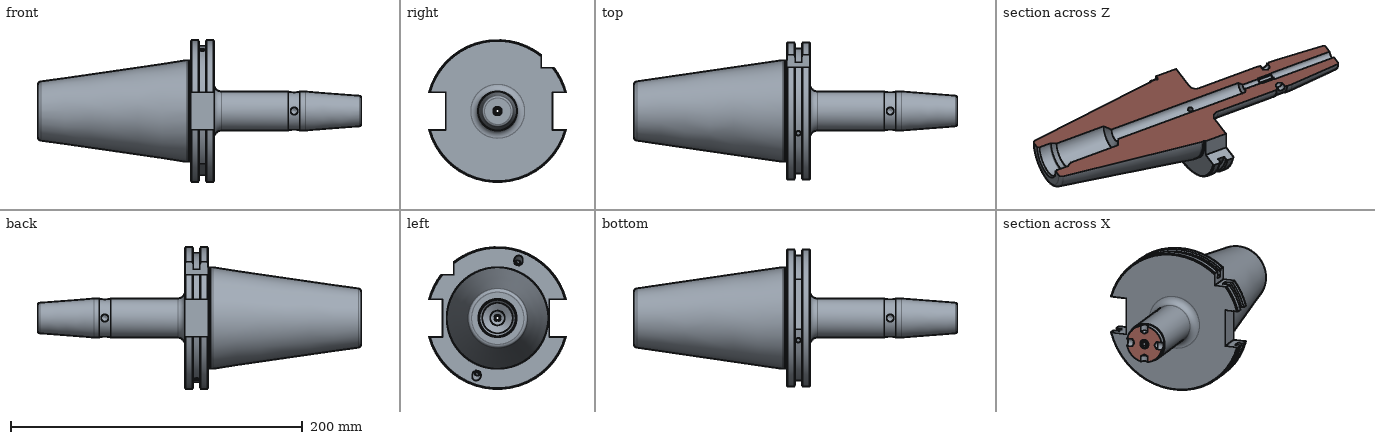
import cadquery as cq
import math


GAUGE_RADIUS = 69.85 / 2
TAPER_LENGTH = 101.75
TAPER_SLOPE = 7 / 48
REAR_X = -TAPER_LENGTH
REAR_RADIUS = GAUGE_RADIUS - TAPER_LENGTH * TAPER_SLOPE
REAR_FILLET = 2.5
RELIEF_START_X = 1.4
RELIEF_DEPTH = 0.3
RELIEF_RAMP = 0.6

FLANGE_RADIUS = 97.5 / 2
FLANGE_REAR_X = 3.2
FLANGE_FRONT_X = 19.1
FLANGE_CHAMFER = 0.7
GROOVE_X = 11.1
GROOVE_MOUTH_WIDTH = 6.0
GROOVE_FLOOR_WIDTH = 4.6
GROOVE_FLANK_ANGLE = 30.0
GROOVE_FLOOR_RADIUS = 44.8
FLAT_DISTANCE = 41.2
FLAT_ANGLE = 13.0

SLOT_WIDTH = 25.7
SLOT_FLOOR_PLUS_Y = 37.7
SLOT_FLOOR_MINUS_Y = 35.5
NOTCH_Y = 30.0
NOTCH_Z = 29.7

NECK_RADIUS = 13.5
NECK_FILLET = 5.0
UNDERCUT_RADIUS = 13.1
UNDERCUT_START_X = 70.0
UNDERCUT_END_X = 78.0
NOSE_START_X = 81.5
NOSE_END_X = 120.0
NOSE_END_RADIUS = 10.5
NOSE_FILLET = 1.5

BALANCE_HOLE_COUNT = 4
BALANCE_HOLE_DIAMETER = 5.0
BALANCE_HOLE_X = (UNDERCUT_START_X + UNDERCUT_END_X) / 2
BALANCE_HOLE_FLOOR_RADIUS = 9.0

DRILL_TIP_SLOPE = math.tan(math.radians(118 / 2))
MOUTH_RADIUS = 13.2
MOUTH_CHAMFER_LENGTH = 1.5
PILOT_RADIUS = 12.6
PILOT_DEPTH = 9.5
PILOT_STEP_LENGTH = 0.8
LEAD_IN_RADIUS = 12.4
LEAD_IN_ANGLE = 32.0
REAR_BORE_RADIUS = 10.4
REAR_BORE_DEPTH = 50.0
COOLANT_BORE_RADIUS = 5.0
COOLANT_BORE_END_X = 50.0
FEED_BORE_RADIUS = 2.0
TOOL_BORE_RADIUS = 3.0
TOOL_BORE_DEPTH = 46.0
TOOL_BORE_END_X = NOSE_END_X - TOOL_BORE_DEPTH

STOP_SCREW_RADIUS = 2.5
STOP_SCREW_LENGTH = 10.0
STOP_SCREW_HOLE_RADIUS = 1.25

PORT_COUNT = 2
PORT_ANGLE = 20.0
PORT_TILT = 30.0
PORT_RADIAL_POSITION = 42.0
PORT_DIAMETER = 6.0
CROSS_DRILL_DIAMETER = 3.3
PLUG_RECESS = 0.5
PLUG_LENGTH = 2.5


def x_cylinder(radius, start_x, end_x):
    return cq.Workplane("YZ", origin=(start_x, 0, 0)).circle(radius).extrude(end_x - start_x)


def revolve_about_x(profile):
    return profile.close().revolve(360, (0, 0, 0), (1, 0, 0))


def round_port(shape, index):
    """Turn a shape built around +Z to the place of one of the flange ports."""
    return shape.rotate((0, 0, 0), (1, 0, 0), PORT_ANGLE + index * 360 / PORT_COUNT)


def make_shank():
    relief_radius = GAUGE_RADIUS - RELIEF_DEPTH
    profile = (
        cq.Workplane("XY")
        .moveTo(REAR_X, 0)
        .lineTo(REAR_X, REAR_RADIUS)
        .lineTo(0, GAUGE_RADIUS)
        .lineTo(RELIEF_START_X, GAUGE_RADIUS)
        .lineTo(RELIEF_START_X + RELIEF_RAMP, relief_radius)
        .lineTo(FLANGE_REAR_X - RELIEF_RAMP, relief_radius)
        .lineTo(FLANGE_REAR_X, GAUGE_RADIUS)
        .lineTo(FLANGE_REAR_X, 0)
    )
    return revolve_about_x(profile).faces("<X").edges().fillet(REAR_FILLET)


def make_groove_cutter():
    """Straight-walled ring with a flared mouth."""
    mouth_half = GROOVE_MOUTH_WIDTH / 2
    floor_half = GROOVE_FLOOR_WIDTH / 2
    flare_depth = (mouth_half - floor_half) / math.tan(math.radians(GROOVE_FLANK_ANGLE))
    flare_radius = FLANGE_RADIUS - flare_depth
    profile = (
        cq.Workplane("XY")
        .moveTo(GROOVE_X - floor_half, GROOVE_FLOOR_RADIUS)
        .lineTo(GROOVE_X - floor_half, flare_radius)
        .lineTo(GROOVE_X - mouth_half, FLANGE_RADIUS)
        .lineTo(GROOVE_X + mouth_half, FLANGE_RADIUS)
        .lineTo(GROOVE_X + floor_half, flare_radius)
        .lineTo(GROOVE_X + floor_half, GROOVE_FLOOR_RADIUS)
    )
    return revolve_about_x(profile)


def make_groove_flat():
    chord = 2 * math.sqrt(GROOVE_FLOOR_RADIUS**2 - FLAT_DISTANCE**2)
    depth = GROOVE_FLOOR_RADIUS - FLAT_DISTANCE
    flat = cq.Workplane("XY").box(GROOVE_FLOOR_WIDTH, chord, depth, centered=(True, True, False))
    flat = flat.translate((GROOVE_X, 0, -GROOVE_FLOOR_RADIUS))
    return flat.rotate((0, 0, 0), (1, 0, 0), -FLAT_ANGLE)


def make_flange():
    flange = x_cylinder(FLANGE_RADIUS, FLANGE_REAR_X, FLANGE_FRONT_X).edges().chamfer(FLANGE_CHAMFER)
    flange = flange.cut(make_groove_cutter()).cut(make_groove_flat())

    length = FLANGE_FRONT_X - FLANGE_REAR_X
    slot = cq.Workplane("XY").box(length, FLANGE_RADIUS, SLOT_WIDTH, centered=(False, False, True))
    notch = cq.Workplane("XY").box(length, FLANGE_RADIUS, FLANGE_RADIUS, centered=False)
    flange = flange.cut(slot.translate((FLANGE_REAR_X, SLOT_FLOOR_PLUS_Y, 0)))
    flange = flange.cut(slot.translate((FLANGE_REAR_X, -SLOT_FLOOR_MINUS_Y - FLANGE_RADIUS, 0)))
    return flange.cut(notch.translate((FLANGE_REAR_X, NOTCH_Y, NOTCH_Z)))


def make_neck():
    fillet_mid = NECK_FILLET * (1 - math.sqrt(0.5))
    profile = (
        cq.Workplane("XY")
        .moveTo(FLANGE_FRONT_X, 0)
        .lineTo(FLANGE_FRONT_X, NECK_RADIUS + NECK_FILLET)
        .threePointArc(
            (FLANGE_FRONT_X + fillet_mid, NECK_RADIUS + fillet_mid),
            (FLANGE_FRONT_X + NECK_FILLET, NECK_RADIUS),
        )
        .lineTo(UNDERCUT_START_X, NECK_RADIUS)
        .lineTo(UNDERCUT_START_X, UNDERCUT_RADIUS)
        .lineTo(UNDERCUT_END_X, UNDERCUT_RADIUS)
        .lineTo(UNDERCUT_END_X, NECK_RADIUS)
        .lineTo(NOSE_START_X, NECK_RADIUS)
        .lineTo(NOSE_END_X, NOSE_END_RADIUS)
        .lineTo(NOSE_END_X, 0)
    )
    return revolve_about_x(profile).faces(">X").edges().fillet(NOSE_FILLET)


def make_axial_bores():
    lead_in_length = (LEAD_IN_RADIUS - REAR_BORE_RADIUS) / math.tan(math.radians(LEAD_IN_ANGLE))
    pilot_end_x = REAR_X + PILOT_DEPTH
    lead_in_start_x = pilot_end_x + PILOT_STEP_LENGTH
    lead_in_end_x = lead_in_start_x + lead_in_length
    rear_bore_end_x = REAR_X + REAR_BORE_DEPTH
    coolant_bore_start_x = rear_bore_end_x + (REAR_BORE_RADIUS - COOLANT_BORE_RADIUS) / DRILL_TIP_SLOPE
    feed_bore_start_x = COOLANT_BORE_END_X + (COOLANT_BORE_RADIUS - FEED_BORE_RADIUS) / DRILL_TIP_SLOPE
    stop_screw_start_x = TOOL_BORE_END_X - STOP_SCREW_LENGTH
    profile = (
        cq.Workplane("XY")
        .moveTo(REAR_X, 0)
        .lineTo(REAR_X, MOUTH_RADIUS)
        .lineTo(REAR_X + MOUTH_CHAMFER_LENGTH, PILOT_RADIUS)
        .lineTo(pilot_end_x, PILOT_RADIUS)
        .lineTo(lead_in_start_x, LEAD_IN_RADIUS)
        .lineTo(lead_in_end_x, REAR_BORE_RADIUS)
        .lineTo(rear_bore_end_x, REAR_BORE_RADIUS)
        .lineTo(coolant_bore_start_x, COOLANT_BORE_RADIUS)
        .lineTo(COOLANT_BORE_END_X, COOLANT_BORE_RADIUS)
        .lineTo(feed_bore_start_x, FEED_BORE_RADIUS)
        .lineTo(stop_screw_start_x, FEED_BORE_RADIUS)
        .lineTo(stop_screw_start_x, STOP_SCREW_RADIUS)
        .lineTo(TOOL_BORE_END_X, STOP_SCREW_RADIUS)
        .lineTo(TOOL_BORE_END_X, TOOL_BORE_RADIUS)
        .lineTo(NOSE_END_X, TOOL_BORE_RADIUS)
        .lineTo(NOSE_END_X, 0)
    )
    return revolve_about_x(profile)


def make_balance_hole(index):
    """Radial blind hole with a drill-tip bottom."""
    radius = BALANCE_HOLE_DIAMETER / 2
    tip_radius = BALANCE_HOLE_FLOOR_RADIUS - radius / DRILL_TIP_SLOPE
    hole = (
        cq.Workplane("XZ")
        .moveTo(0, tip_radius)
        .lineTo(radius, BALANCE_HOLE_FLOOR_RADIUS)
        .lineTo(radius, NECK_RADIUS)
        .lineTo(0, NECK_RADIUS)
        .close()
        .revolve(360, (0, 0, 0), (0, 1, 0))
        .translate((BALANCE_HOLE_X, 0, 0))
    )
    return hole.rotate((0, 0, 0), (1, 0, 0), index * 360 / BALANCE_HOLE_COUNT)


def make_port(index):
    """Tilted port in the rear flange face and the cross drilling it meets."""
    tilt = math.radians(PORT_TILT)
    direction = cq.Vector(math.cos(tilt), 0, -math.sin(tilt))
    mouth = cq.Vector(FLANGE_REAR_X, 0, PORT_RADIAL_POSITION)
    start = mouth - direction * PORT_DIAMETER
    depth = (GROOVE_X + CROSS_DRILL_DIAMETER / 2 - FLANGE_REAR_X) / math.cos(tilt)
    port = cq.Solid.makeCylinder(PORT_DIAMETER / 2, PORT_DIAMETER + depth, start, direction)
    cross_drill = cq.Solid.makeCylinder(
        CROSS_DRILL_DIAMETER / 2, FLANGE_RADIUS, cq.Vector(GROOVE_X, 0, 0), cq.Vector(0, 0, 1)
    )
    cutter = cq.Workplane(port).union(cq.Workplane(cross_drill))
    return round_port(cutter, index)


def make_holder():
    holder = make_shank().union(make_flange()).union(make_neck()).cut(make_axial_bores())
    for index in range(BALANCE_HOLE_COUNT):
        holder = holder.cut(make_balance_hole(index))
    for index in range(PORT_COUNT):
        holder = holder.cut(make_port(index))
    return holder


def make_stop_screw():
    return (
        cq.Workplane("YZ", origin=(TOOL_BORE_END_X - STOP_SCREW_LENGTH, 0, 0))
        .circle(STOP_SCREW_RADIUS)
        .circle(STOP_SCREW_HOLE_RADIUS)
        .extrude(STOP_SCREW_LENGTH)
    )


def make_plug(index):
    """Plain sealing plug, sunk below the groove floor."""
    top = GROOVE_FLOOR_RADIUS - PLUG_RECESS
    plug = (
        cq.Workplane("XY", origin=(GROOVE_X, 0, top))
        .circle(CROSS_DRILL_DIAMETER / 2)
        .extrude(-PLUG_LENGTH)
    )
    return round_port(plug, index)


holder = make_holder()
stop_screw = make_stop_screw()
plugs = [make_plug(index) for index in range(PORT_COUNT)]

result = cq.Compound.makeCompound([
    holder.val(),
    stop_screw.val(),
    *[plug.val() for plug in plugs],
])